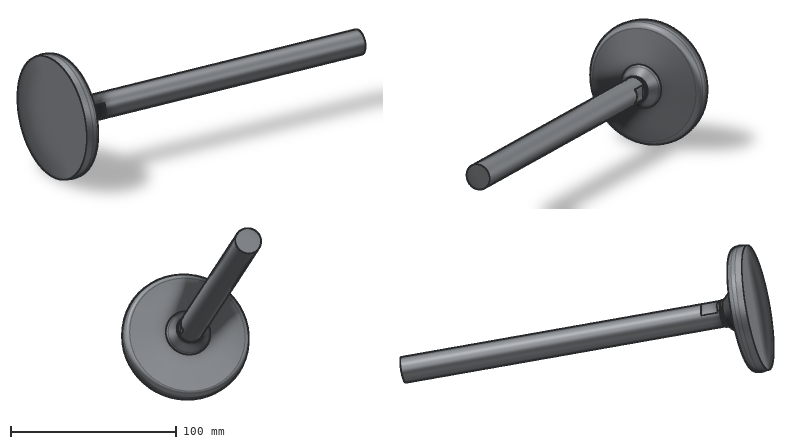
import cadquery as cq

overall_length = 222.0

foot_radius = 38.95
sole_radius = 38.5
band_bottom = 4.2
band_top = 6.9
band_top_radius = 38.6
roof_edge_radius = 35.5
roof_edge_height = 10.0
roof_top_radius = 13.8
roof_top_height = 13.5
dome_base_radius = 12.7
dome_base_height = 14.9
dome_middle_radius = 10.7
dome_middle_height = 17.3
dome_top = 20.0
collar_base_radius = 8.0
collar_lip_radius = 8.5
collar_top = 21.0

shaft_radius = 8.0
shaft_start = 22.2
neck_radius = 6.9
socket_floor = 13.3
flat_start = 23.5
flat_end = 33.7
flat_spacing = 13.0


def make_foot():
    """Disc with a sloping roof and a domed hub, bored for the spindle neck."""
    profile = (
        cq.Workplane("XY")
        .moveTo(0, socket_floor)
        .lineTo(neck_radius, socket_floor)
        .lineTo(neck_radius, collar_top)
        .lineTo(collar_lip_radius, collar_top)
        .lineTo(collar_base_radius, dome_top)
        .threePointArc((dome_middle_radius, dome_middle_height), (dome_base_radius, dome_base_height))
        .lineTo(roof_top_radius, roof_top_height)
        .lineTo(roof_edge_radius, roof_edge_height)
        .tangentArcPoint((band_top_radius, band_top), relative=False)
        .lineTo(foot_radius, band_bottom)
        .lineTo(sole_radius, 0)
        .lineTo(0, 0)
        .close()
    )
    return profile.revolve(360, (0, 0, 0), (0, 1, 0))


def make_flat_cutter(side):
    """Block that leaves one wrench flat; side is -1 or +1 along X."""
    depth = shaft_radius - flat_spacing / 2
    return cq.Workplane("XY").box(depth, flat_end - flat_start, 2 * shaft_radius).translate(
        (side * (flat_spacing + depth) / 2, (flat_start + flat_end) / 2, 0)
    )


def make_spindle():
    """Plain shaft with a tapered end, a neck seated in the foot and two wrench flats."""
    profile = (
        cq.Workplane("XY")
        .moveTo(0, socket_floor)
        .lineTo(neck_radius, socket_floor)
        .lineTo(neck_radius, collar_top)
        .lineTo(shaft_radius, shaft_start)
        .lineTo(shaft_radius, overall_length)
        .lineTo(0, overall_length)
        .close()
    )
    spindle = profile.revolve(360, (0, 0, 0), (0, 1, 0))
    for side in (-1, 1):
        spindle = spindle.cut(make_flat_cutter(side))
    return spindle


foot = make_foot()
spindle = make_spindle()
result = cq.Compound.makeCompound([foot.val(), spindle.val()])